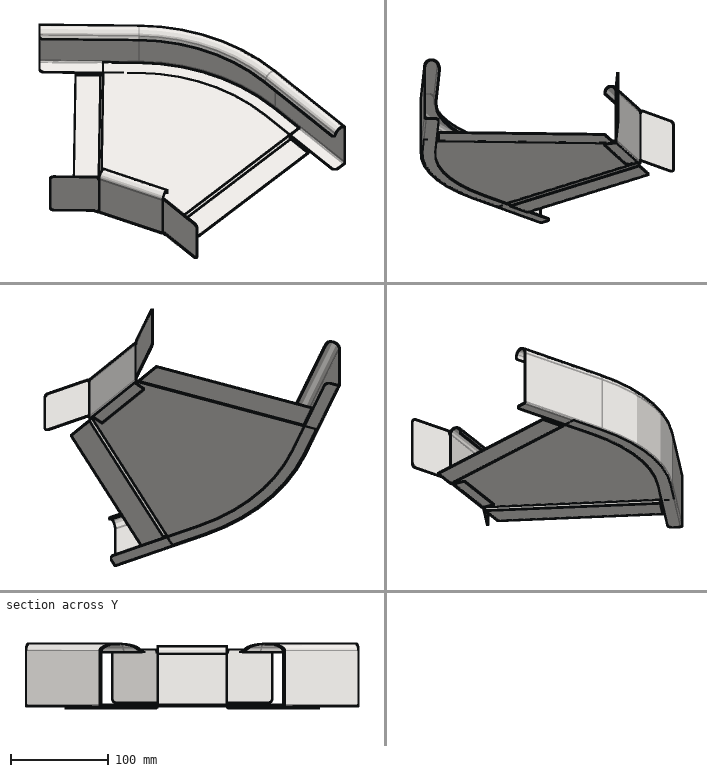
import cadquery as cq
import math


sheet = 1.0
half_bend = 22.5
sin_bend = math.sin(math.radians(half_bend))
cos_bend = math.cos(math.radians(half_bend))
total_length = 342.2
total_height = 66.7
flange_bottom = 1.88
fold_radius = 2.0
flange_depth = 15.0

outer_radius = 199.5
straight_length = (total_length / 2 - outer_radius * sin_bend) / cos_bend
outer_roll_radius = 7.5
outer_lip_slope = 24.0
outer_lip_length = 4.8
flange_corner_radius = 5.0
lip_corner_radius = 3.0

inner_face_y = -15.5
inner_half_length = 35.5
inner_top = 64.0
inner_roll_radius = 6.5
inner_lip_length = 1.7
inner_flange_inset = 3.5
wing_bottom = 5.8
wing_top = 60.5
wing_length = 50.5
wing_corner_radius = 4.0
wing_relief = 2.0

floor_bottom = flange_bottom + sheet
floor_top = floor_bottom + sheet
floor_front_y = inner_face_y + fold_radius
floor_outer_radius = outer_radius - fold_radius
floor_side = 37.0
tab_side = 65.5
tab_outer_radius = 182.8


def polar(radius, degrees):
    angle = math.radians(degrees)
    return radius * math.cos(angle), radius * math.sin(angle)


def rail_profile(face, top, roll_radius, lip_slope, lip_length):
    """Closed rail section: flange, wall, roll and lip, running inwards from x = face."""
    roll_x = face - roll_radius
    roll_z = top - roll_radius
    inner_roll = roll_radius - sheet
    fold_x = face - fold_radius
    fold_z = flange_bottom + fold_radius
    inner_fold = fold_radius - sheet
    lip_angle = 180 - lip_slope
    lip_drop = (-lip_length * math.sin(math.radians(lip_slope)),
                -lip_length * math.cos(math.radians(lip_slope)))

    def on_roll(radius, degrees):
        dx, dz = polar(radius, degrees)
        return roll_x + dx, roll_z + dz

    def on_fold(radius, degrees):
        dx, dz = polar(radius, degrees)
        return fold_x + dx, fold_z + dz

    def lip_end(radius):
        x, z = on_roll(radius, lip_angle)
        return x + lip_drop[0], z + lip_drop[1]

    return (
        cq.Workplane("XZ")
        .moveTo(face - flange_depth, flange_bottom)
        .lineTo(*on_fold(fold_radius, -90))
        .threePointArc(on_fold(fold_radius, -45), on_fold(fold_radius, 0))
        .lineTo(*on_roll(roll_radius, 0))
        .threePointArc(on_roll(roll_radius, 90), on_roll(roll_radius, lip_angle))
        .lineTo(*lip_end(roll_radius))
        .lineTo(*lip_end(inner_roll))
        .lineTo(*on_roll(inner_roll, lip_angle))
        .threePointArc(on_roll(inner_roll, 90), on_roll(inner_roll, 0))
        .lineTo(*on_fold(inner_fold, 0))
        .threePointArc(on_fold(inner_fold, -45), on_fold(inner_fold, -90))
        .lineTo(face - flange_depth, flange_bottom + sheet)
        .close()
    )


def outer_rail_profile():
    return rail_profile(outer_radius, total_height, outer_roll_radius, outer_lip_slope, outer_lip_length)


def round_end_corner(straight, x_range, z_range, radius):
    """Round the short edge whose centre lies in the given ranges on the straight's free end."""
    corner = cq.selectors.BoxSelector(
        (x_range[0], straight_length - sheet / 2, z_range[0]),
        (x_range[1], straight_length + sheet / 2, z_range[1]),
    )
    return straight.edges(corner).fillet(radius)


def make_outer_rail():
    arc = outer_rail_profile().revolve(2 * half_bend, (0, 0, 0), (0, 1, 0))
    arc = arc.rotate((0, 0, 0), (0, 0, 1), 90 - half_bend)

    straight = outer_rail_profile().extrude(-straight_length)
    flange_tip_x = outer_radius - flange_depth
    lip_z = total_height - outer_roll_radius
    lip_range_x = (outer_radius - 3 * outer_roll_radius, outer_radius - outer_roll_radius)
    straight = round_end_corner(straight, (flange_tip_x - sheet, flange_tip_x + sheet),
                                (flange_bottom, floor_bottom), flange_corner_radius)
    straight = round_end_corner(straight, lip_range_x,
                                (lip_z - outer_lip_length, lip_z - sheet), lip_corner_radius)
    left = straight.rotate((0, 0, 0), (0, 0, 1), 90 + half_bend)
    return arc.union(left).union(left.mirror("YZ"))


def make_wing():
    """Right wing, turned outwards about the vertical edge at the end of the wall's inner face."""
    roll_z = inner_top - inner_roll_radius
    wing = (
        cq.Workplane("XZ")
        .moveTo(0, wing_bottom)
        .lineTo(wing_length, wing_bottom)
        .lineTo(wing_length, wing_top)
        .lineTo(wing_relief, wing_top)
        .lineTo(wing_relief / 2, roll_z)
        .lineTo(0, roll_z)
        .close()
        .extrude(sheet)
        .edges("|Y and >X")
        .fillet(wing_corner_radius)
    )
    hinge = (inner_half_length, inner_face_y + sheet, 0)
    return wing.rotate((0, 0, 0), (0, 0, 1), -half_bend).translate(hinge)


def make_inner_rail():
    rail = (
        rail_profile(-inner_face_y, inner_top, inner_roll_radius, 0, inner_lip_length)
        .extrude(inner_half_length, both=True)
        .rotate((0, 0, 0), (0, 0, 1), -90)
    )
    for side in (-1, 1):
        flange_notch = cq.Workplane("XY").box(
            2 * inner_flange_inset, flange_depth, floor_bottom, centered=(True, False, False)
        ).translate((side * inner_half_length, floor_front_y, 0))
        rail = rail.cut(flange_notch)
    wing = make_wing()
    return rail.union(wing).union(wing.mirror("YZ"))


def make_side_step():
    """Left step and tab: the floor's edge drops at 45 degrees to the tab under it."""
    drop = floor_bottom
    miter = sheet * math.tan(math.radians(22.5))
    length = outer_radius + tab_side
    step = (
        cq.Workplane("YZ")
        .moveTo(0, floor_bottom)
        .lineTo(floor_side - miter, floor_bottom)
        .lineTo(floor_side - miter + drop, 0)
        .lineTo(tab_side, 0)
        .lineTo(tab_side, sheet)
        .lineTo(floor_side + drop, sheet)
        .lineTo(floor_side, floor_top)
        .lineTo(0, floor_top)
        .close()
        .extrude(-length)
        .translate((tab_outer_radius, 0, 0))
        .rotate((0, 0, 0), (0, 0, 1), 90 + half_bend)
    )
    front = cq.Workplane("XY").box(
        2 * total_length, total_length, total_height, centered=(True, False, False)
    ).translate((0, floor_front_y - total_length, 0))
    return step.cut(front)


def make_floor():
    def beside_arc(radius):
        """Point on the left floor edge, beside the end of the arc."""
        return (-radius * sin_bend - floor_side * cos_bend,
                radius * cos_bend - floor_side * sin_bend)

    edge_front_x = (floor_side + floor_front_y * sin_bend) / cos_bend
    corner_x, corner_y = beside_arc(floor_outer_radius)
    arc_x, arc_y = polar(floor_outer_radius, 90 + half_bend)
    floor = (
        cq.Workplane("XY", origin=(0, 0, floor_bottom))
        .moveTo(-edge_front_x, floor_front_y)
        .lineTo(corner_x, corner_y)
        .lineTo(arc_x, arc_y)
        .threePointArc((0, floor_outer_radius), (-arc_x, arc_y))
        .lineTo(-corner_x, corner_y)
        .lineTo(edge_front_x, floor_front_y)
        .close()
        .extrude(sheet)
    )
    step = make_side_step()
    return floor.union(step).union(step.mirror("YZ"))


outer_rail = make_outer_rail()
inner_rail = make_inner_rail()
floor_plate = make_floor()

result = cq.Compound.makeCompound([outer_rail.val(), inner_rail.val(), floor_plate.val()])